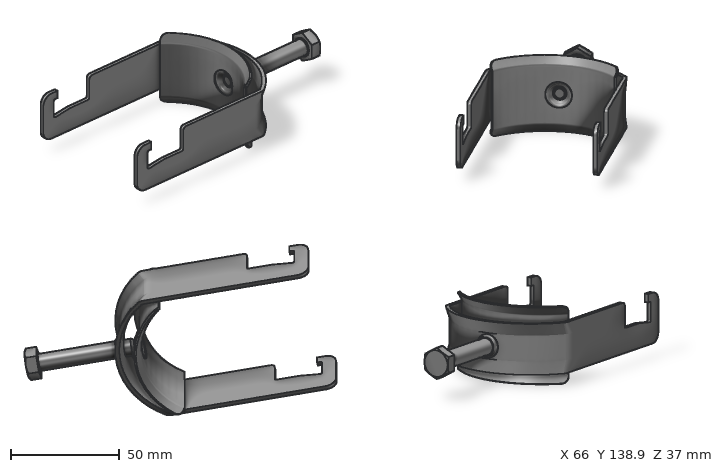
import cadquery as cq
import math


OVERALL_LENGTH = 138.9

BAND_WIDTH = 66.0
BAND_HEIGHT = 24.0
BAND_THICKNESS = 2.0
BAND_CENTRE_Y = 57.0
CROWN_RADIUS = 37.9
BEND_RADIUS = 7.0
CROWN_HALF_FLAT = 6.1
FLARE_RISE = 1.8
RIM_BEND_RADIUS = 4.2
COLLAR_RADIUS = 4.5
COLLAR_FILLET = 1.1
COLLAR_TOP_Y = BAND_CENTRE_Y + CROWN_RADIUS + FLARE_RISE

NOTCH_START_Y = 28.8
NOTCH_END_Y = 6.5
NOTCH_FLOOR_Z = -0.3
FLOOR_SLOPE_START_Y = 17.0
FLOOR_SLOPE_END_Z = -1.7
LIP_TIP_Y = 8.9
LIP_UNDERSIDE_Z = 8.0
NOTCH_FILLET = 1.0
NOTCH_MOUTH_FILLET = 2.0
LEG_CORNER_RADIUS = 5.0

HEAD_ACROSS_FLATS = 12.9
HEAD_SIDES = 6
HEAD_HEIGHT = 5.5
HEAD_CHAMFER_ANGLE = 30.0
HEAD_TOP_RADIUS = 6.3
WASHER_FACE_RADIUS = 4.6
WASHER_FACE_HEIGHT = 0.4
SHANK_RADIUS = 4.0
SHANK_END_Y = 88.0
SHANK_END_RADIUS = 3.2
SHANK_TAPER_LENGTH = 1.4
TIP_RADIUS = 2.6
TIP_END_Y = 86.5
TIP_CHAMFER = 0.3

SADDLE_HEIGHT = 37.0
SADDLE_THICKNESS = 1.0
SADDLE_CENTRE_Y = 48.3
SADDLE_RADIUS = 36.1
SADDLE_HALF_ANGLE = 52.0
SADDLE_HALF_FLAT = 13.6
FLANGE_ANGLE = 30.0
FLANGE_BEND_RADIUS = 1.4
FLANGE_CORNER_RADIUS = 4.0

DIMPLE_MOUTH_RADIUS = 6.3
DIMPLE_MOUTH_FILLET_END = 4.6
DIMPLE_MOUTH_EDGE = 0.1
DIMPLE_MOUTH_DEPTH = 1.0
DIMPLE_HOLE_RADIUS = 3.2
DIMPLE_RIM_RADIUS = 3.9
DIMPLE_CONE_END_Y = 86.8
DIMPLE_RIM_Y = 87.5


def revolved_about_bolt_axis(profile):
    """Turn a closed (radius, y) profile in the XY plane about the Y axis."""
    return profile.close().revolve(360, (0, 0), (0, 1))



def band_outline(workplane, half_width, crown_radius, bend_radius, end_y):
    """U outline: crown arc, tangent bend arcs and straight legs closed at end_y."""
    bend_x = half_width - bend_radius
    centre_distance = crown_radius - bend_radius
    bend_y = BAND_CENTRE_Y + math.sqrt(centre_distance**2 - bend_x**2)
    bend_angle = math.atan2(bend_y - BAND_CENTRE_Y, bend_x)
    crown_end_x = crown_radius * math.cos(bend_angle)
    crown_end_y = BAND_CENTRE_Y + crown_radius * math.sin(bend_angle)
    bend_mid_x = bend_x + bend_radius * math.cos(bend_angle / 2)
    bend_mid_y = bend_y + bend_radius * math.sin(bend_angle / 2)
    return (
        workplane.moveTo(half_width, end_y)
        .lineTo(half_width, bend_y)
        .threePointArc((bend_mid_x, bend_mid_y), (crown_end_x, crown_end_y))
        .threePointArc((0, BAND_CENTRE_Y + crown_radius), (-crown_end_x, crown_end_y))
        .threePointArc((-bend_mid_x, bend_mid_y), (-half_width, bend_y))
        .lineTo(-half_width, end_y)
        .close()
    )


def band_block(inset, end_y):
    """Solid inside the band surface set in by `inset`, with both crown rims flared."""
    half_width = BAND_WIDTH / 2 - inset
    middle = (half_width, CROWN_RADIUS - inset, BEND_RADIUS - inset, end_y)
    rim = (half_width, CROWN_RADIUS + FLARE_RISE - inset, RIM_BEND_RADIUS - inset, end_y)
    flat_base = cq.Workplane("XY").workplane(offset=-CROWN_HALF_FLAT)
    block = band_outline(flat_base, *middle).extrude(2 * CROWN_HALF_FLAT)
    flare_height = BAND_HEIGHT / 2 - CROWN_HALF_FLAT
    flare_base = cq.Workplane("XY").workplane(offset=CROWN_HALF_FLAT)
    lower_outline = band_outline(flare_base, *middle)
    upper_plane = lower_outline.workplane(offset=flare_height)
    flare = band_outline(upper_plane, *rim).loft(ruled=True, combine=True)
    return block.union(flare).union(flare.mirror("XY"))


def notch_cutter():
    """Hook-shaped notch through both legs, open at the upper edge."""
    top_z = BAND_HEIGHT / 2
    cutter = (
        cq.Workplane("YZ", origin=(-BAND_WIDTH, 0, 0))
        .moveTo(NOTCH_START_Y, top_z)
        .lineTo(NOTCH_START_Y, NOTCH_FLOOR_Z)
        .lineTo(FLOOR_SLOPE_START_Y, NOTCH_FLOOR_Z)
        .lineTo(NOTCH_END_Y, FLOOR_SLOPE_END_Z)
        .lineTo(NOTCH_END_Y, LIP_UNDERSIDE_Z)
        .lineTo(LIP_TIP_Y, LIP_UNDERSIDE_Z)
        .lineTo(LIP_TIP_Y, top_z)
        .close()
        .extrude(2 * BAND_WIDTH)
    )
    rounded_corners = (
        (NOTCH_START_Y, NOTCH_FLOOR_Z),
        (NOTCH_END_Y, FLOOR_SLOPE_END_Z),
        (NOTCH_END_Y, LIP_UNDERSIDE_Z),
    )
    for corner_y, corner_z in rounded_corners:
        corner = cq.selectors.NearestToPointSelector((0, corner_y, corner_z))
        cutter = cutter.edges("|X").edges(corner).fillet(NOTCH_FILLET)
    return cutter


def leg_side_shape():
    """Side silhouette of the legs with rounded ends, extruded across the band."""
    silhouette = (
        cq.Workplane("XY")
        .box(BAND_WIDTH, OVERALL_LENGTH, BAND_HEIGHT, centered=(True, False, True))
        .edges("|X and <Y")
        .fillet(LEG_CORNER_RADIUS)
        .cut(notch_cutter())
    )
    mouth = cq.selectors.NearestToPointSelector((0, NOTCH_START_Y, BAND_HEIGHT / 2))
    return silhouette.edges("|X").edges(mouth).fillet(NOTCH_MOUTH_FILLET)


def band_collar():
    """Short collar on the crown around the bolt, blending into the crown face."""
    crown_y = BAND_CENTRE_Y + CROWN_RADIUS
    foot_y = crown_y - BAND_THICKNESS / 2
    foot_radius = COLLAR_RADIUS + COLLAR_FILLET
    inset = COLLAR_FILLET * (1 - math.sqrt(0.5))
    profile = (
        cq.Workplane("XY")
        .moveTo(0, foot_y)
        .lineTo(foot_radius, foot_y)
        .lineTo(foot_radius, crown_y)
        .threePointArc(
            (COLLAR_RADIUS + inset, crown_y + inset),
            (COLLAR_RADIUS, crown_y + COLLAR_FILLET),
        )
        .lineTo(COLLAR_RADIUS, COLLAR_TOP_Y)
        .lineTo(0, COLLAR_TOP_Y)
    )
    return revolved_about_bolt_axis(profile)


def make_band():
    past_leg_end = -BAND_THICKNESS
    shell = band_block(0, 0).cut(band_block(BAND_THICKNESS, past_leg_end))
    shell = shell.intersect(leg_side_shape())
    bolt_hole = (
        cq.Workplane("XZ", origin=(0, OVERALL_LENGTH, 0))
        .circle(SHANK_RADIUS)
        .extrude(OVERALL_LENGTH - BAND_CENTRE_Y)
    )
    return shell.union(band_collar()).cut(bolt_hole)



def bolt_head():
    """Hexagonal head with corners up and down, chamfered on its outer end."""
    half_side_angle = 180 / HEAD_SIDES
    across_corners = HEAD_ACROSS_FLATS / math.cos(math.radians(half_side_angle))
    corner_radius = across_corners / 2
    chamfer_drop = (corner_radius - HEAD_TOP_RADIUS) * math.tan(math.radians(HEAD_CHAMFER_ANGLE))
    base_y = OVERALL_LENGTH - HEAD_HEIGHT
    hexagon = (
        cq.Workplane("XZ", origin=(0, OVERALL_LENGTH, 0))
        .polygon(HEAD_SIDES, across_corners)
        .extrude(HEAD_HEIGHT)
        .rotate((0, 0, 0), (0, 1, 0), half_side_angle)
    )
    chamfer_envelope = revolved_about_bolt_axis(
        cq.Workplane("XY")
        .moveTo(0, base_y)
        .lineTo(corner_radius, base_y)
        .lineTo(corner_radius, OVERALL_LENGTH - chamfer_drop)
        .lineTo(HEAD_TOP_RADIUS, OVERALL_LENGTH)
        .lineTo(0, OVERALL_LENGTH)
    )
    return hexagon.intersect(chamfer_envelope)


def bolt_shank():
    """Washer face, shank with tapered end and the narrow chamfered tip."""
    washer_top_y = OVERALL_LENGTH - HEAD_HEIGHT
    washer_base_y = washer_top_y - WASHER_FACE_HEIGHT
    profile = (
        cq.Workplane("XY")
        .moveTo(0, washer_top_y)
        .lineTo(WASHER_FACE_RADIUS, washer_top_y)
        .lineTo(WASHER_FACE_RADIUS, washer_base_y)
        .lineTo(SHANK_RADIUS, washer_base_y)
        .lineTo(SHANK_RADIUS, SHANK_END_Y + SHANK_TAPER_LENGTH)
        .lineTo(SHANK_END_RADIUS, SHANK_END_Y)
        .lineTo(TIP_RADIUS, SHANK_END_Y)
        .lineTo(TIP_RADIUS, TIP_END_Y + TIP_CHAMFER)
        .lineTo(TIP_RADIUS - TIP_CHAMFER, TIP_END_Y)
        .lineTo(0, TIP_END_Y)
    )
    return revolved_about_bolt_axis(profile)


def make_bolt():
    return bolt_head().union(bolt_shank())



def saddle_sheet():
    """Curved sheet with outward flanges, swept about the saddle's own vertical axis."""
    tilt = math.radians(FLANGE_ANGLE)
    outer_radius = SADDLE_RADIUS + SADDLE_THICKNESS
    bend_centre_r = outer_radius + FLANGE_BEND_RADIUS
    inner_bend_radius = FLANGE_BEND_RADIUS + SADDLE_THICKNESS

    def on_bend(radius, angle):
        r = bend_centre_r - radius * math.cos(angle)
        z = SADDLE_HALF_FLAT + radius * math.sin(angle)
        return r, z

    inner_bend_end = on_bend(inner_bend_radius, tilt)
    rim_z = SADDLE_HEIGHT / 2
    inner_rim_r = inner_bend_end[0] + (rim_z - inner_bend_end[1]) * math.tan(tilt)
    outer_rim = (
        inner_rim_r + SADDLE_THICKNESS * math.cos(tilt),
        rim_z - SADDLE_THICKNESS * math.sin(tilt),
    )
    upper_half = (
        cq.Workplane("XZ")
        .moveTo(SADDLE_RADIUS, 0)
        .lineTo(SADDLE_RADIUS, SADDLE_HALF_FLAT)
        .threePointArc(on_bend(inner_bend_radius, tilt / 2), inner_bend_end)
        .lineTo(inner_rim_r, rim_z)
        .lineTo(*outer_rim)
        .lineTo(*on_bend(FLANGE_BEND_RADIUS, tilt))
        .threePointArc(on_bend(FLANGE_BEND_RADIUS, tilt / 2), (outer_radius, SADDLE_HALF_FLAT))
        .lineTo(outer_radius, 0)
        .close()
        .revolve(2 * SADDLE_HALF_ANGLE, (0, 0), (0, 1))
    )
    end_corners = [
        edge for edge in upper_half.edges("%LINE").vals() if edge.Center().z > outer_rim[1]
    ]
    upper_half = upper_half.newObject(end_corners).fillet(FLANGE_CORNER_RADIUS)
    sheet = upper_half.union(upper_half.mirror("XY"))
    return sheet.rotate((0, 0, 0), (0, 0, 1), 90 - SADDLE_HALF_ANGLE).translate((0, SADDLE_CENTRE_Y, 0))


def saddle_boss():
    """Blank of the dimple: a cone standing on the outside of the curved sheet."""
    inner_y = SADDLE_CENTRE_Y + SADDLE_RADIUS
    foot_radius = DIMPLE_MOUTH_RADIUS + SADDLE_THICKNESS
    below_sheet_y = inner_y - 2 * SADDLE_THICKNESS
    cone = revolved_about_bolt_axis(
        cq.Workplane("XY")
        .moveTo(0, below_sheet_y)
        .lineTo(foot_radius, below_sheet_y)
        .lineTo(foot_radius, inner_y + SADDLE_THICKNESS)
        .lineTo(DIMPLE_RIM_RADIUS, DIMPLE_RIM_Y)
        .lineTo(0, DIMPLE_RIM_Y)
    )
    inside_of_sheet = (
        cq.Workplane("XY", origin=(0, SADDLE_CENTRE_Y, -SADDLE_HEIGHT / 2))
        .circle(SADDLE_RADIUS + SADDLE_THICKNESS / 2)
        .extrude(SADDLE_HEIGHT)
    )
    return cone.cut(inside_of_sheet)


def dimple_recess():
    """Space inside the dimple: rounded mouth, cone and hole for the bolt tip."""
    inner_y = SADDLE_CENTRE_Y + SADDLE_RADIUS
    mouth_y = inner_y + DIMPLE_MOUTH_EDGE
    below_sheet_y = inner_y - 2 * SADDLE_THICKNESS
    run = DIMPLE_MOUTH_RADIUS - DIMPLE_MOUTH_FILLET_END
    fillet_radius = (run**2 + DIMPLE_MOUTH_DEPTH**2) / (2 * DIMPLE_MOUTH_DEPTH)
    half_sweep = math.asin(run / fillet_radius) / 2
    mouth_mid = (
        DIMPLE_MOUTH_RADIUS - fillet_radius * math.sin(half_sweep),
        mouth_y + fillet_radius * (1 - math.cos(half_sweep)),
    )
    return revolved_about_bolt_axis(
        cq.Workplane("XY")
        .moveTo(0, below_sheet_y)
        .lineTo(DIMPLE_MOUTH_RADIUS, below_sheet_y)
        .lineTo(DIMPLE_MOUTH_RADIUS, mouth_y)
        .threePointArc(mouth_mid, (DIMPLE_MOUTH_FILLET_END, mouth_y + DIMPLE_MOUTH_DEPTH))
        .lineTo(DIMPLE_HOLE_RADIUS, DIMPLE_CONE_END_Y)
        .lineTo(DIMPLE_HOLE_RADIUS, DIMPLE_RIM_Y)
        .lineTo(0, DIMPLE_RIM_Y)
    )


def make_saddle():
    """Sheet with a dimple pressed outward and pierced for the bolt tip."""
    return saddle_sheet().union(saddle_boss()).cut(dimple_recess())


band = make_band()
bolt = make_bolt()
saddle = make_saddle()

result = cq.Compound.makeCompound([body.solids().val() for body in (band, bolt, saddle)])